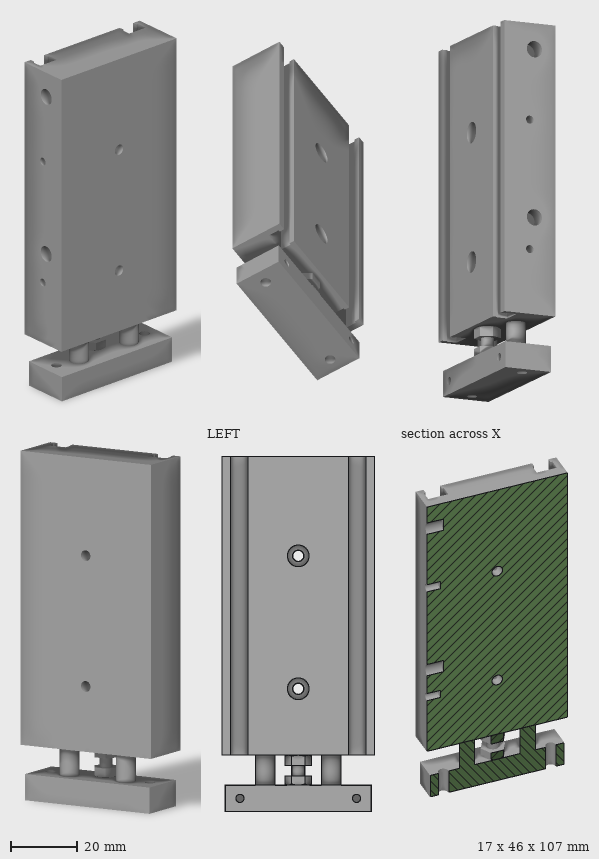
import cadquery as cq
import math

housing_x = 17.0
housing_y = 46.0
total_z = 107.0
housing_bottom = 17.0
housing_z = total_z - housing_bottom

slot_inset = 5.2
slot_center_y = housing_y / 2 - slot_inset
slot_opening = 5.4
slot_width = 6.5
slot_lip = 1.6
slot_depth = 5.0

mount_levels = (37.0, 77.0)
mount_bore = 3.3
counterbore = 6.5
counterbore_depth = 3.3

port_levels = (47.0, 99.0)
port_x = 10.1
port_bore = 5.0
port_depth = 5.4
side_bore = 2.5
side_depth = 4.3

plate_x = 15.2
plate_y = 44.0
plate_z = 8.0
plate_offset_x = (housing_x - plate_x) / 2
plate_hole_y = 17.5
plate_side_bore = 2.5
plate_side_depth = 5.0
plate_vertical_bore = 3.2
rod_diameter = 6.0
rod_x = port_x
rod_y = 10.0

bolt_x = 5.4
bolt_diameter = 4.0
hex_flats = 7.0
hex_corners = hex_flats / math.cos(math.pi / 6)
lower_hex_z = 2.8
upper_hex_z = 3.1
hex_chamfer_angle = math.radians(30)


def box(x_start, length_x, center_y, length_y, bottom, length_z):
    """Block placed by its -X face, its middle in Y and its bottom."""
    corner = cq.Vector(x_start, center_y - length_y / 2, bottom)
    return cq.Workplane(cq.Solid.makeBox(length_x, length_y, length_z, corner))


def cylinder(diameter, length, start, direction):
    """Cylinder running from a start point along a direction."""
    return cq.Workplane(
        cq.Solid.makeCylinder(diameter / 2, length, cq.Vector(*start), cq.Vector(*direction))
    )


def make_housing():
    body = box(0, housing_x, 0, housing_y, housing_bottom, housing_z)
    for side in (-1, 1):
        y = side * slot_center_y
        body = body.cut(box(0, slot_lip, y, slot_opening, housing_bottom, housing_z))
        body = body.cut(box(slot_lip, slot_depth - slot_lip, y, slot_width, housing_bottom, housing_z))
    for z in mount_levels:
        body = body.cut(cylinder(mount_bore, housing_x, (0, 0, z), (1, 0, 0)))
        body = body.cut(cylinder(counterbore, counterbore_depth, (0, 0, z), (1, 0, 0)))
        body = body.cut(cylinder(side_bore, side_depth, (housing_x / 2, -housing_y / 2, z), (0, 1, 0)))
    for z in port_levels:
        body = body.cut(cylinder(port_bore, port_depth, (port_x, -housing_y / 2, z), (0, 1, 0)))
    return body


def make_rod_plate():
    """End plate carrying both guide rods, which end against the housing."""
    body = box(plate_offset_x, plate_x, 0, plate_y, 0, plate_z)
    for side in (-1, 1):
        hole_y = side * plate_hole_y
        side_start = (plate_offset_x, hole_y, plate_z / 2)
        body = body.cut(cylinder(plate_side_bore, plate_side_depth, side_start, (1, 0, 0)))
        body = body.cut(cylinder(plate_vertical_bore, plate_z, (housing_x / 2, hole_y, 0), (0, 0, 1)))
        rod_start = (rod_x, side * rod_y, plate_z)
        body = body.union(cylinder(rod_diameter, housing_bottom - plate_z, rod_start, (0, 0, 1)))
    return body


def hexagon(height):
    """Hexagon with corners on Y, its corners bevelled at the bottom end."""
    prism = cq.Workplane("XY").polygon(6, hex_corners).extrude(height)
    prism = prism.rotate((0, 0, 0), (0, 0, 1), 90)
    flat_radius = hex_flats / 2
    cone_radius = flat_radius + height / math.tan(hex_chamfer_angle)
    bevel = cq.Workplane(cq.Solid.makeCone(flat_radius, cone_radius, height))
    return prism.intersect(bevel)


def make_stop_bolt():
    """Stem with a hexagon at each end, bevelled where it meets the plate or the housing."""
    stem = cylinder(bolt_diameter, housing_bottom - plate_z, (bolt_x, 0, plate_z), (0, 0, 1))
    lower_hex = hexagon(lower_hex_z).translate((bolt_x, 0, plate_z))
    upper_hex = hexagon(upper_hex_z).mirror("XY").translate((bolt_x, 0, housing_bottom))
    return stem.union(lower_hex).union(upper_hex)


housing = make_housing()
rod_plate = make_rod_plate()
stop_bolt = make_stop_bolt()

result = cq.Compound.makeCompound([housing.val(), rod_plate.val(), stop_bolt.val()])